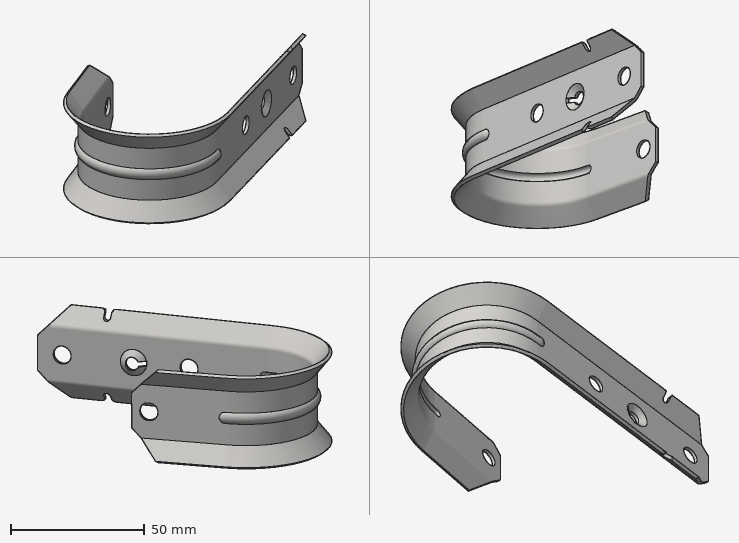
import cadquery as cq
import math

sheet = 1.4
outer_radius = 32.3
web_radius = 26.9
inner_radius = web_radius - sheet
total_length = 123.3
long_arm = total_length - outer_radius
short_arm = 37.4
short_arm_tilt = 4.0

half_height = 18.3
fold_height = 10.6
fold_radius = 2.3
rim_height = 17.5

end_half_width = 6.9
corner_cut = half_height - end_half_width

hole_diameter = 7.0
long_arm_holes = (9.7, 59.9)
short_arm_hole = 6.7

notch_y = 64.6
notch_width = 2.7
notch_depth = 4.1
notch_lead_radius = 1.5

bead_radius = 2.6
groove_radius = 1.6
bead_overrun = 1.2

seat_y = 53.0
seat_radius = 5.2
seat_rise = 1.8
seat_hole_radius = 2.6
seat_slot_width = 2.0

cut_reach = 4 * outer_radius


def channel_section():
    """Channel profile with radius along X and height along Z."""
    run = outer_radius - web_radius
    climb = rim_height - fold_height
    flange = math.hypot(run, climb)
    edge_radius = outer_radius - sheet * climb / flange
    edge_height = rim_height + sheet * run / flange
    inner_fold = edge_height - (edge_radius - inner_radius) * climb / run
    bend = math.atan2(run, climb)
    setback = fold_radius * math.tan(bend / 2)
    low = (inner_radius, inner_fold - setback)
    high = (inner_radius + setback * math.sin(bend), inner_fold + setback * math.cos(bend))
    middle = (
        inner_radius + fold_radius * (1 - math.cos(bend / 2)),
        low[1] + fold_radius * math.sin(bend / 2),
    )

    def below(point):
        return (point[0], -point[1])

    upper_outside = [(web_radius, fold_height), (outer_radius, rim_height), (edge_radius, edge_height)]
    lower_outside = [below(point) for point in reversed(upper_outside)]
    outline = cq.Workplane("XZ").moveTo(*lower_outside[0])
    for point in lower_outside[1:] + upper_outside + [high]:
        outline = outline.lineTo(*point)
    outline = outline.threePointArc(middle, low).lineTo(*below(low))
    return outline.threePointArc(below(middle), below(high)).close()


def through_x(y, z):
    """Sketch plane across X at the given place, with Y and Z as its axes."""
    return cq.Workplane("YZ", origin=(0, y, z))


def arm(length, hole_setbacks):
    """Straight arm on the +X side with cut corners and round holes."""
    body = channel_section().extrude(-length)
    for side in (1, -1):
        corner = (
            through_x(length, side * half_height)
            .polyline([
                (-corner_cut - sheet, side * sheet),
                (sheet, side * sheet),
                (sheet, -side * (corner_cut + sheet)),
            ])
            .close()
            .extrude(cut_reach)
        )
        body = body.cut(corner)
    for setback in hole_setbacks:
        body = body.cut(through_x(length - setback, 0).circle(hole_diameter / 2).extrude(cut_reach))
    return body


def to_short_arm(shape):
    """Move a shape from the +X side to the tilted arm on the -X side."""
    return shape.mirror("YZ").rotate((0, 0, 0), (0, 0, 1), short_arm_tilt)


def around_bend(section):
    """Revolve a section on the +X side around to the start of the short arm."""
    return section.revolve(180 - short_arm_tilt, (0, 0, 0), (0, -1, 0))


def half_disc(radius):
    """Half disc standing on the inner face, bulging away from the bend axis."""
    return (
        cq.Workplane("XZ")
        .moveTo(inner_radius, -radius)
        .threePointArc((inner_radius + radius, 0), (inner_radius, radius))
        .close()
    )


def half_round_bar(radius):
    """Half-round bar on the inner face around the bend, with domed ends on both arms."""
    diagonal = radius * math.sqrt(0.5)
    dome = (
        cq.Workplane("XZ", origin=(inner_radius, bead_overrun, 0))
        .moveTo(radius, 0)
        .threePointArc((diagonal, diagonal), (0, radius))
        .lineTo(0, 0)
        .close()
        .revolve(180, (0, 0, 0), (-1, 0, 0))
    )
    tail = half_disc(radius).extrude(-bead_overrun).union(dome)
    return around_bend(half_disc(radius)).union(tail).union(to_short_arm(tail))


def notch_cutter():
    """Round-bottomed slot with rounded lead-in corners, for the upper flange."""
    half = notch_width / 2
    lead = notch_lead_radius
    mouth = half + lead
    sweep = lead * math.sqrt(0.5)
    bottom = half - notch_depth
    return (
        through_x(notch_y, half_height + sheet)
        .moveTo(-mouth, 0)
        .lineTo(-mouth, -sheet)
        .threePointArc((-mouth + sweep, -sheet - lead + sweep), (-half, -sheet - lead))
        .lineTo(-half, bottom - sheet)
        .threePointArc((0, -notch_depth - sheet), (half, bottom - sheet))
        .lineTo(half, -sheet - lead)
        .threePointArc((mouth - sweep, -sheet - lead + sweep), (mouth, -sheet))
        .lineTo(mouth, 0)
        .close()
        .extrude(cut_reach)
    )


def seat_cone(face_x):
    """Cone rising towards -X from a web face to the rim of the seat hole."""
    return (
        through_x(seat_y, 0)
        .workplane(offset=face_x)
        .circle(seat_radius)
        .workplane(offset=-seat_rise)
        .circle(seat_hole_radius)
        .loft()
    )


def seat_opening():
    """Round hole with a slot running towards the bend, to the edge of the seat."""
    hole = through_x(seat_y, 0).circle(seat_hole_radius).extrude(cut_reach)
    slot = through_x(seat_y - seat_radius / 2, 0).rect(seat_radius, seat_slot_width).extrude(cut_reach)
    return hole.union(slot)


notch = notch_cutter()
notched_arm = arm(long_arm, long_arm_holes).cut(notch).cut(notch.mirror("XY"))

long_side = notched_arm.union(seat_cone(inner_radius)).cut(seat_cone(web_radius)).cut(seat_opening())

short_side = to_short_arm(arm(short_arm, (short_arm_hole,)))
hook = around_bend(channel_section()).union(long_side).union(short_side)

hook = hook.union(half_round_bar(bead_radius))
result = hook.cut(half_round_bar(groove_radius))